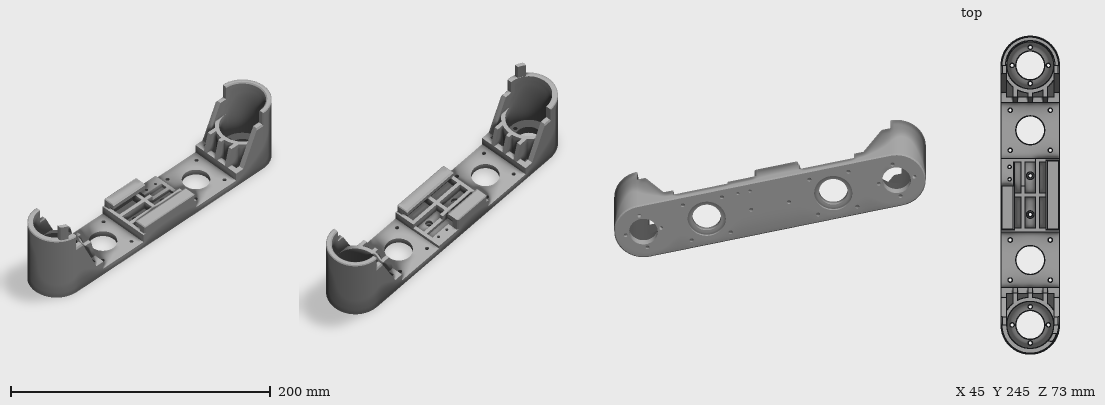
import cadquery as cq
import math

LENGTH = 245.0
END_RADIUS = 22.5
END_Y = LENGTH / 2 - END_RADIUS
BOTTOM_CHAMFER = 1.0

FLOOR_Z = 7.0
LOW_DECK_Z = 10.0
DECK_Z = 14.5
RAIL_LIP_Z = 17.5
RAIL_TOP_Z = 21.8
FIN_TOP_Z = 31.4
SHOULDER_Z = 47.0
RIM_Z = 59.8
POST_TOP_Z = 73.0

DECK_Y = 28.5
SILL_Y = 71.3
CAVITY_Y = 75.7
WALL_FOOT_Y = 79.0
WALL_TOP_Y = 93.8

CUP_RADIUS = 18.1
SHOULDER_DROP = 1.5
SHOULDER_INSET = 1.0
RIM_CHAMFER = 0.7
RIM_INNER_CHAMFER = 1.0
RING_OUTER_RADIUS = 21.3
FIN_WIDTH = 3.2
FIN_X = 11.5
FIN_TOP_Y = 75.5

BORE_RADIUS = 11.0
SCREW_RADIUS = 1.6
CUP_SCREW_CIRCLE = 14.0
PLATE_Y = 50.0
PLATE_SCREW_OFFSET = 15.5
PLATE_RECESS_RADIUS = 14.7
PLATE_RECESS_DEPTH = 2.2
DECK_SCREW_Y = 15.0
DECK_HEAD_RADIUS = 3.0
DECK_HEAD_DEPTH = 3.0
TAB_SCREW_RADIUS = 1.2
TAB_SCREW_X = -16.0
TAB_SCREWS_Y = (12.2, 21.8)

RAIL_Y = 27.0
RAIL_INNER_X = 12.0
RAIL_CHAMFER = 0.7
RAIL_BEVEL_WIDTH = 1.5
RAIL_BEVEL_DROP = 1.0
POCKET_Y = 25.5
RIB_WIDTH = 3.0
CENTRE_POCKET_X = 4.2
SIDE_POCKET_X = CENTRE_POCKET_X + RIB_WIDTH
UNDERCUT_X = 17.2
LOW_DECK_Y = 7.0
LOW_POCKET_FLARE = 1.0
RAIL_CORNER_LENGTH = 1.5

POST_INNER_RADIUS = 18.4
POST_OUTER_RADIUS = 21.3
POST_NEAR_Y = -6.5
POST_INNER_Y = -12.2
POST_OUTER_Y = -12.2
POST_RIDGE = (16.2, -12.7)


def box(x0, x1, y0, y1, z0, z1):
    return cq.Workplane("XY").box(x1 - x0, y1 - y0, z1 - z0, centered=False).translate((x0, y0, z0))


def cylinder(x, y, radius, z0, z1):
    return cq.Workplane("XY").workplane(offset=z0).center(x, y).circle(radius).extrude(z1 - z0)


def bar_along_y(profile, y0, y1):
    """Bar with an (x, z) profile running from y0 to y1."""
    return cq.Workplane("XZ").workplane(offset=-y1).polyline(profile).close().extrude(y1 - y0)


def both_ends(shape):
    return shape.union(shape.mirror("XZ"))


def both_sides(shape):
    return shape.union(shape.mirror("YZ"))


def lower_body():
    """Round-ended bar up to the shoulders, trimmed to its stepped side outline."""
    bar = cq.Workplane("XY").slot2D(LENGTH, 2 * END_RADIUS, 90).extrude(SHOULDER_Z)
    bar = bar.faces("<Z").chamfer(BOTTOM_CHAMFER)
    bar = bar.faces(">Z").chamfer(SHOULDER_DROP, SHOULDER_INSET)
    half = [
        (DECK_Y, DECK_Z), (DECK_Y, FLOOR_Z), (SILL_Y, FLOOR_Z), (SILL_Y, DECK_Z),
        (WALL_FOOT_Y, DECK_Z), (WALL_TOP_Y, SHOULDER_Z), (LENGTH / 2, SHOULDER_Z), (LENGTH / 2, 0),
    ]
    other_half = [(-y, z) for y, z in reversed(half)]
    outline = cq.Workplane("YZ").polyline(half + other_half).close()
    return bar.intersect(outline.extrude(END_RADIUS, both=True))


def upper_rim():
    """Half-round top of the +Y end, standing above the shoulders."""
    base_z = SHOULDER_Z - SHOULDER_DROP
    rim = (
        cq.Workplane("XY").workplane(offset=base_z)
        .moveTo(-END_RADIUS, END_Y)
        .threePointArc((0, END_Y + END_RADIUS), (END_RADIUS, END_Y))
        .close()
        .extrude(RIM_Z - base_z)
    )
    return rim.edges("|Z or (>Z and %CIRCLE)").chamfer(RIM_CHAMFER)


def cup_cavity():
    """Hollow of the +Y end: a round cup opening towards the plate."""
    cup = cylinder(0, END_Y, CUP_RADIUS, FLOOR_Z, RIM_Z)
    return cup.union(box(-CUP_RADIUS, CUP_RADIUS, CAVITY_Y, END_Y, FLOOR_Z, RIM_Z))


def ring_and_fins():
    """Low curved wall closing the +Y cup, braced by fins from the sill."""
    braces = cylinder(0, END_Y, RING_OUTER_RADIUS, FLOOR_Z, FIN_TOP_Z)
    braces = braces.intersect(box(-CUP_RADIUS, CUP_RADIUS, CAVITY_Y, END_Y, FLOOR_Z, FIN_TOP_Z))
    profile = [
        (SILL_Y, FLOOR_Z), (SILL_Y, DECK_Z), (FIN_TOP_Y, FIN_TOP_Z), (END_Y, FIN_TOP_Z), (END_Y, FLOOR_Z),
    ]
    fin = cq.Workplane("YZ").polyline(profile).close().extrude(FIN_WIDTH / 2, both=True)
    for x in (-FIN_X, 0, FIN_X):
        braces = braces.union(fin.translate((x, 0, 0)))
    return braces.cut(cylinder(0, END_Y, CUP_RADIUS, FLOOR_Z, RIM_Z))


def rim_bevel():
    """Cone that breaks the inner rim edge of the +Y cup."""
    base = cq.Vector(0, END_Y, RIM_Z - RIM_INNER_CHAMFER)
    top_radius = CUP_RADIUS + RIM_INNER_CHAMFER
    return cq.Workplane(cq.Solid.makeCone(CUP_RADIUS, top_radius, RIM_INNER_CHAMFER, base))


def rail():
    """Rail on the +X side with a bevelled inner top edge and chamfered outer edges."""
    profile = [
        (RAIL_INNER_X, DECK_Z), (END_RADIUS, DECK_Z), (END_RADIUS, RAIL_TOP_Z),
        (RAIL_INNER_X + RAIL_BEVEL_WIDTH, RAIL_TOP_Z), (RAIL_INNER_X, RAIL_TOP_Z - RAIL_BEVEL_DROP),
    ]
    bar = bar_along_y(profile, -RAIL_Y, RAIL_Y)
    bar = bar.edges(">X and |Z").chamfer(RAIL_CHAMFER)
    return bar.faces(">Z").edges("not <X").chamfer(RAIL_CHAMFER)


def low_corner():
    """Material removed from the -X, +Y corner of the deck, with the rail corner beside it."""
    block = box(-END_RADIUS, CENTRE_POCKET_X, LOW_DECK_Y, DECK_Y, LOW_DECK_Z, RAIL_TOP_Z)
    wedge = (
        cq.Workplane("XY").workplane(offset=LOW_DECK_Z)
        .polyline([
            (-END_RADIUS, LOW_DECK_Y),
            (-END_RADIUS, LOW_DECK_Y - RAIL_CORNER_LENGTH),
            (-END_RADIUS + RAIL_CHAMFER, LOW_DECK_Y),
        ])
        .close().extrude(RAIL_TOP_Z - LOW_DECK_Z)
    )
    return block.union(wedge)


def rail_undercut():
    """Slot below the lip of the +X rail, open at both rail ends."""
    return box(RAIL_INNER_X, UNDERCUT_X, -RAIL_Y, RAIL_Y, DECK_Z, RAIL_LIP_Z)


def deck_pockets():
    """Six pockets between the ribs; the side ones reach under the rails."""
    y0, y1 = RIB_WIDTH / 2, POCKET_Y
    centre = box(-CENTRE_POCKET_X, CENTRE_POCKET_X, y0, y1, FLOOR_Z, DECK_Z)
    side = box(SIDE_POCKET_X, UNDERCUT_X, y0, y1, FLOOR_Z, DECK_Z)
    short_side = box(-UNDERCUT_X, -SIDE_POCKET_X, y0, LOW_DECK_Y, FLOOR_Z, DECK_Z)
    low_side = bar_along_y(
        [
            (-SIDE_POCKET_X, FLOOR_Z), (-RAIL_INNER_X, FLOOR_Z),
            (-RAIL_INNER_X - LOW_POCKET_FLARE, LOW_DECK_Z), (-SIDE_POCKET_X, LOW_DECK_Z),
        ],
        LOW_DECK_Y, POCKET_Y)
    upper = centre.union(side).union(short_side).union(low_side)
    lower = centre.union(both_sides(side)).mirror("XZ")
    return upper.union(lower)


def end_holes():
    """Bore and screw holes in the cup, the plate and the deck on the +Y half."""
    holes = cylinder(0, END_Y, BORE_RADIUS, 0, FLOOR_Z)
    for quarter in range(4):
        angle = quarter * math.pi / 2
        x = CUP_SCREW_CIRCLE * math.cos(angle)
        y = END_Y + CUP_SCREW_CIRCLE * math.sin(angle)
        holes = holes.union(cylinder(x, y, SCREW_RADIUS, 0, FLOOR_Z))

    holes = holes.union(cylinder(0, PLATE_Y, BORE_RADIUS, 0, FLOOR_Z))
    holes = holes.union(cylinder(0, PLATE_Y, PLATE_RECESS_RADIUS, 0, PLATE_RECESS_DEPTH))
    for x in (-PLATE_SCREW_OFFSET, PLATE_SCREW_OFFSET):
        for y in (PLATE_Y - PLATE_SCREW_OFFSET, PLATE_Y + PLATE_SCREW_OFFSET):
            holes = holes.union(cylinder(x, y, SCREW_RADIUS, 0, FLOOR_Z))

    head_z = FLOOR_Z - DECK_HEAD_DEPTH
    holes = holes.union(cylinder(0, DECK_SCREW_Y, SCREW_RADIUS, 0, FLOOR_Z))
    return holes.union(cylinder(0, DECK_SCREW_Y, DECK_HEAD_RADIUS, head_z, FLOOR_Z))


def post():
    """Upright post that follows the curve of the -Y rim."""
    def on_circle(radius, y):
        return math.sqrt(radius ** 2 - y ** 2), y

    near_inner = on_circle(POST_INNER_RADIUS, POST_NEAR_Y)
    near_outer = on_circle(POST_OUTER_RADIUS, POST_NEAR_Y)
    far_outer = on_circle(POST_OUTER_RADIUS, POST_OUTER_Y)
    far_inner = on_circle(POST_INNER_RADIUS, POST_INNER_Y)
    return (
        cq.Workplane("XY", origin=(0, -END_Y, RIM_Z))
        .moveTo(*near_inner)
        .lineTo(*near_outer)
        .radiusArc(far_outer, POST_OUTER_RADIUS)
        .lineTo(*POST_RIDGE)
        .lineTo(*far_inner)
        .radiusArc(near_inner, -POST_INNER_RADIUS)
        .close()
        .extrude(POST_TOP_Z - RIM_Z)
    )


body = lower_body().union(both_ends(upper_rim()))
body = body.cut(both_ends(cup_cavity()))
body = body.union(both_ends(ring_and_fins()))
body = body.cut(rim_bevel())

body = body.union(both_sides(rail()))
body = body.cut(low_corner())
body = body.cut(both_sides(rail_undercut()))
body = body.cut(deck_pockets())

body = body.cut(both_ends(end_holes()))
for tab_screw_y in TAB_SCREWS_Y:
    body = body.cut(cylinder(TAB_SCREW_X, tab_screw_y, TAB_SCREW_RADIUS, 0, LOW_DECK_Z))

result = body.union(post())